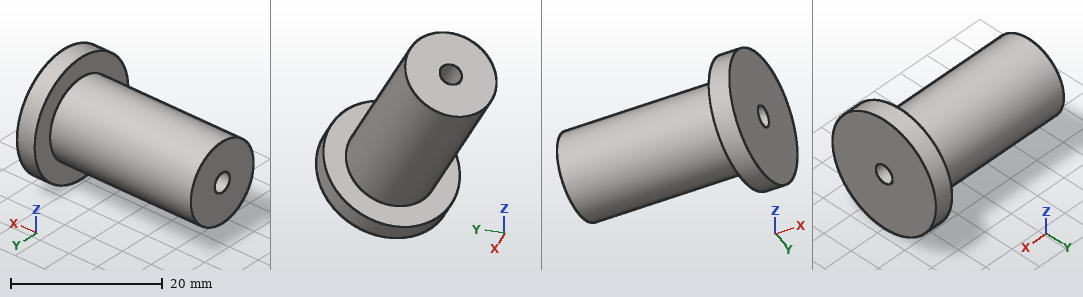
import cadquery as cq

total_length = 27.5
flange_diameter = 19.0
flange_thickness = 3.08
shank_diameter = 12.73
bore_diameter = 3.05

shank_length = total_length - flange_thickness

shank = cq.Workplane("YZ").circle(shank_diameter / 2).extrude(shank_length)

flange = (
    cq.Workplane("YZ")
    .workplane(offset=shank_length)
    .circle(flange_diameter / 2)
    .extrude(flange_thickness)
)

bore = cq.Workplane("YZ").circle(bore_diameter / 2).extrude(total_length)

result = shank.union(flange).cut(bore)